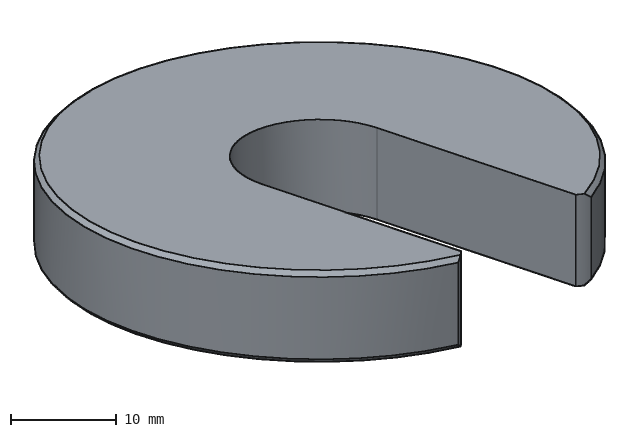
import cadquery as cq
import math

outer_diameter = 54.0
thickness = 9.5
slot_width = 17.0
rim_chamfer = 0.5
slot_wall_end_x = 24.37
mouth_tip_x = 25.13
mouth_curve_bow = 0.08

outer_radius = outer_diameter / 2
slot_radius = slot_width / 2


def make_disc():
    """Round plate standing on Z = 0, with both rim edges chamfered."""
    disc = cq.Workplane("XY").circle(outer_radius).extrude(thickness)
    return disc.faces("<Z or >Z").edges().chamfer(rim_chamfer)


def make_slot():
    """Round-ended slot, centred on the disc axis and open toward +X."""
    return (
        cq.Workplane("XY")
        .moveTo(0, slot_radius)
        .threePointArc((-slot_radius, 0), (0, -slot_radius))
        .lineTo(outer_radius, -slot_radius)
        .lineTo(outer_radius, slot_radius)
        .close()
        .extrude(thickness)
    )


def make_mouth_corner(side):
    """Material outside the shallow convex curve joining one slot wall to the rim."""
    rim_y = math.sqrt(outer_radius**2 - mouth_tip_x**2)
    run = mouth_tip_x - slot_wall_end_x
    rise = rim_y - slot_radius
    chord = math.hypot(run, rise)
    bow_x = (slot_wall_end_x + mouth_tip_x) / 2 + mouth_curve_bow * rise / chord
    bow_y = (slot_radius + rim_y) / 2 - mouth_curve_bow * run / chord
    return (
        cq.Workplane("XY")
        .moveTo(slot_wall_end_x, side * slot_radius)
        .lineTo(outer_radius, side * slot_radius)
        .lineTo(outer_radius, side * rim_y)
        .lineTo(mouth_tip_x, side * rim_y)
        .threePointArc((bow_x, side * bow_y), (slot_wall_end_x, side * slot_radius))
        .close()
        .extrude(thickness)
    )


result = make_disc().cut(make_slot())
for mouth_side in (1, -1):
    result = result.cut(make_mouth_corner(mouth_side))